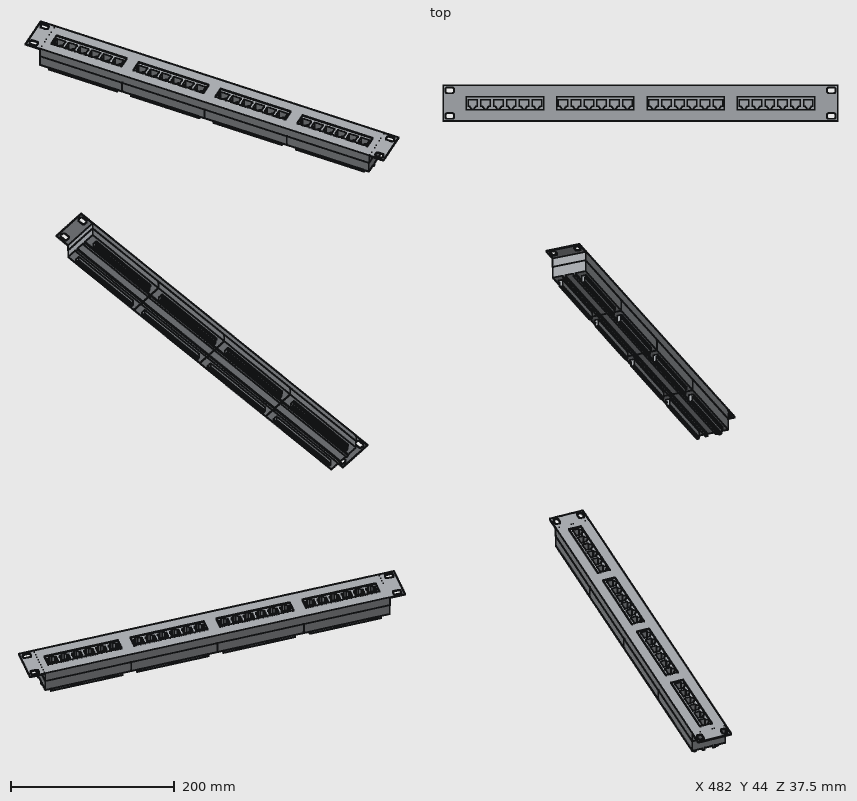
import cadquery as cq

PLATE_LENGTH = 482.0
PLATE_WIDTH = 44.0
PLATE_THICKNESS = 1.5
TOTAL_HEIGHT = 37.5

SLOT_LENGTH = 10.0
SLOT_WIDTH = 6.7
SLOT_CORNER_RADIUS = 2.0
SLOT_SPACING_X = 465.5
SLOT_SPACING_Y = 31.5

MODULE_COUNT = 4
MODULE_PITCH = 111.0
MODULE_GAP = 0.5
HOUSING_LENGTH = MODULE_COUNT * MODULE_PITCH
HOUSING_BOTTOM = -13.0
MODULE_LENGTH = MODULE_PITCH - MODULE_GAP
MODULE_SIDE_INSET = 0.1
MODULE_WIDTH = PLATE_WIDTH - 2 * MODULE_SIDE_INSET
MODULE_BOTTOM = -28.0

WINDOW_PITCH = 110.5
WINDOW_LENGTH = 94.5
WINDOW_WIDTH = 16.0
JACK_COUNT = 6
JACK_ROW_LENGTH = 94.0
JACK_PITCH = JACK_ROW_LENGTH / JACK_COUNT
JACK_DEPTH = 14.5
JACK_HALF_WIDTH = 6.0
JACK_TOP_Y = 4.0
JACK_SHOULDER_Y = -4.0
JACK_LATCH_HALF_WIDTH = 4.0
JACK_LATCH_TIP_HALF_WIDTH = 1.5
JACK_LATCH_Y = -7.0

STRIP_LENGTH = 91.5
STRIP_INNER_Y = 12.5
STRIP_OUTER_Y = 17.0
STRIP_SHOULDER_Y = 18.5
STRIP_CHAMFER = 1.5
SHOULDER_BOTTOM = -31.0
RIB_INNER_Y = 5.5
RIB_OUTER_Y = 8.0

SIDES = (-1, 1)


def centred_positions(count, pitch):
    """Evenly spaced coordinates centred on zero."""
    return [(i - (count - 1) / 2) * pitch for i in range(count)]


def block(length, width, top, bottom, x=0.0, y=0.0):
    """Box centred at (x, y) between two z levels."""
    return cq.Workplane("XY", origin=(x, y, bottom)).rect(length, width).extrude(top - bottom)


def face_plate():
    plate = block(PLATE_LENGTH, PLATE_WIDTH, 0, -PLATE_THICKNESS)
    slots = (
        cq.Workplane("XY")
        .rect(SLOT_SPACING_X, SLOT_SPACING_Y, forConstruction=True)
        .vertices()
        .rect(SLOT_LENGTH, SLOT_WIDTH)
        .extrude(-PLATE_THICKNESS)
        .edges("|Z")
        .fillet(SLOT_CORNER_RADIUS)
    )
    return plate.cut(slots)


def jack_socket(x):
    """Plug opening with a tapered latch notch on its -Y side."""
    right_half = [
        (JACK_HALF_WIDTH, JACK_TOP_Y),
        (JACK_HALF_WIDTH, JACK_SHOULDER_Y),
        (JACK_LATCH_HALF_WIDTH, JACK_SHOULDER_Y),
        (JACK_LATCH_TIP_HALF_WIDTH, JACK_LATCH_Y),
    ]
    left_half = [(-px, py) for px, py in reversed(right_half)]
    return (
        cq.Workplane("XY", origin=(x, 0, -PLATE_THICKNESS))
        .polyline(right_half + left_half)
        .close()
        .extrude(-JACK_DEPTH)
    )


def terminal_strip(x, side):
    """Shouldered strip along X with a chamfered lower edge, on the given Y side."""
    profile = [
        (STRIP_INNER_Y, MODULE_BOTTOM),
        (STRIP_INNER_Y, STRIP_CHAMFER - TOTAL_HEIGHT),
        (STRIP_INNER_Y + STRIP_CHAMFER, -TOTAL_HEIGHT),
        (STRIP_OUTER_Y - STRIP_CHAMFER, -TOTAL_HEIGHT),
        (STRIP_OUTER_Y, STRIP_CHAMFER - TOTAL_HEIGHT),
        (STRIP_OUTER_Y, SHOULDER_BOTTOM),
        (STRIP_SHOULDER_Y, SHOULDER_BOTTOM),
        (STRIP_SHOULDER_Y, MODULE_BOTTOM),
    ]
    return (
        cq.Workplane("YZ", origin=(x, 0, 0))
        .polyline([(side * y, z) for y, z in profile])
        .close()
        .extrude(STRIP_LENGTH / 2, both=True)
    )


def guide_rib(x, side):
    """Low rib along the whole module, on the given Y side."""
    rib_y = side * (RIB_INNER_Y + RIB_OUTER_Y) / 2
    return block(MODULE_LENGTH, RIB_OUTER_Y - RIB_INNER_Y, MODULE_BOTTOM, SHOULDER_BOTTOM, x, rib_y)


def module(x):
    body = block(MODULE_LENGTH, MODULE_WIDTH, HOUSING_BOTTOM, MODULE_BOTTOM, x)
    for side in SIDES:
        body = body.union(terminal_strip(x, side)).union(guide_rib(x, side))
    return body


module_centres = centred_positions(MODULE_COUNT, MODULE_PITCH)
window_centres = centred_positions(MODULE_COUNT, WINDOW_PITCH)
jack_offsets = centred_positions(JACK_COUNT, JACK_PITCH)

plate = face_plate()
housing = block(HOUSING_LENGTH, PLATE_WIDTH, -PLATE_THICKNESS, HOUSING_BOTTOM)
for centre in module_centres:
    housing = housing.union(module(centre))

for centre in window_centres:
    plate = plate.cut(block(WINDOW_LENGTH, WINDOW_WIDTH, 0, -PLATE_THICKNESS, centre))
    for offset in jack_offsets:
        housing = housing.cut(jack_socket(centre + offset))

result = plate.union(housing)